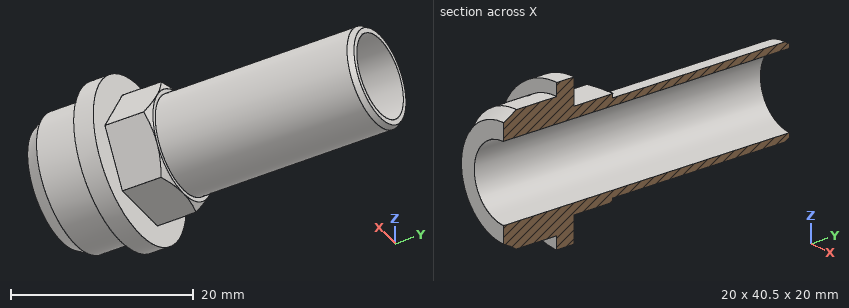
import cadquery as cq
import math

bore_diameter = 10.0

spigot_diameter = 16.66
spigot_tip_diameter = 14.5
spigot_length = 7.5
spigot_chamfer_length = 1.8

collar_diameter = 20.0
collar_end = 10.0

hex_sides = 6
hex_across_flats = 13.0
hex_end = 15.5
hex_chamfer_angle = 30.0

tube_diameter = 12.0
tube_end = 40.5
tube_chamfer_length = 0.65
tube_chamfer_inset = 0.4

hex_across_corners = hex_across_flats / math.cos(math.pi / hex_sides)


def cylinder(diameter, start, end):
    """Solid cylinder on the Y axis between two Y positions."""
    return (
        cq.Workplane("XZ", origin=(0, start, 0))
        .circle(diameter / 2)
        .extrude(start - end)
    )


def revolve_about_y(points):
    """Solid of revolution from (radius, Y) points."""
    return cq.Workplane("XY").polyline(points).close().revolve(360, (0, 0, 0), (0, 1, 0))


def make_spigot():
    radius = spigot_diameter / 2
    return revolve_about_y([
        (0, 0),
        (spigot_tip_diameter / 2, 0),
        (radius, spigot_chamfer_length),
        (radius, spigot_length),
        (0, spigot_length),
    ])


def make_hexagon():
    """Hexagonal prism whose back corners are cut by a shallow cone."""
    prism = (
        cq.Workplane("XZ", origin=(0, collar_end, 0))
        .polygon(hex_sides, hex_across_corners)
        .extrude(collar_end - hex_end)
    )
    flat_radius = hex_across_flats / 2
    corner_radius = hex_across_corners / 2
    corner_drop = (corner_radius - flat_radius) * math.tan(math.radians(hex_chamfer_angle))
    envelope = revolve_about_y([
        (0, collar_end),
        (corner_radius, collar_end),
        (corner_radius, hex_end - corner_drop),
        (flat_radius, hex_end),
        (0, hex_end),
    ])
    return prism.intersect(envelope)


def make_tube():
    radius = tube_diameter / 2
    return revolve_about_y([
        (0, hex_end),
        (radius, hex_end),
        (radius, tube_end - tube_chamfer_length),
        (radius - tube_chamfer_inset, tube_end),
        (0, tube_end),
    ])


collar = cylinder(collar_diameter, spigot_length, collar_end)
bore = cylinder(bore_diameter, 0, tube_end)

result = make_spigot().union(collar).union(make_hexagon()).union(make_tube()).cut(bore)